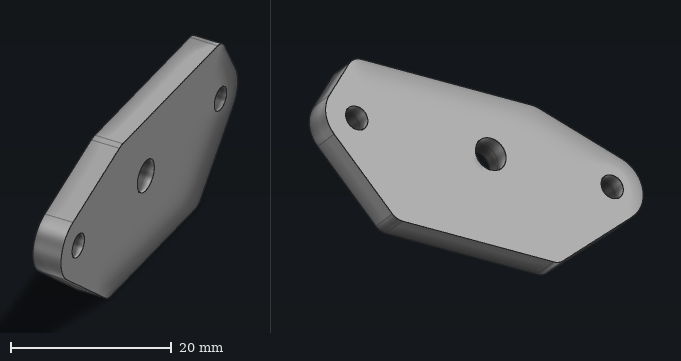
import cadquery as cq
import math

thickness = 4.0
length = 46.0
top_z = 8.35
bottom_z = -12.65
end_radius = 4.5
front_hole_y = -17.55
back_hole_y = front_hole_y + length - 2 * end_radius
end_hole_diameter = 3.2
center_hole_diameter = 4.4

top_back = (19.9, top_z)
top_front = (-6.45, top_z)
bottom_front = (-9.9, bottom_z)
bottom_back = (13.65, bottom_z)
corner_radius = 2.02
shallow_corner_radius = 3.0


def tangent_point(corner, center_y, side):
    """Point where a line from the corner touches the end arc.

    side is +1 or -1 and selects which of the two tangents is used.
    """
    dy = corner[0] - center_y
    dz = corner[1]
    angle = math.atan2(dz, dy) + side * math.acos(end_radius / math.hypot(dy, dz))
    return (center_y + end_radius * math.cos(angle), end_radius * math.sin(angle))


def round_corner(plate, corner, radius):
    """Round the edge that runs along X through the given corner."""
    y, z = corner
    edge = cq.selectors.NearestToPointSelector((0, y, z))
    return plate.edges("|X").edges(edge).fillet(radius)


plate = (
    cq.Workplane("YZ")
    .moveTo(*top_back)
    .lineTo(*top_front)
    .lineTo(*tangent_point(top_front, front_hole_y, 1))
    .threePointArc(
        (front_hole_y - end_radius, 0),
        tangent_point(bottom_front, front_hole_y, -1),
    )
    .lineTo(*bottom_front)
    .lineTo(*bottom_back)
    .lineTo(*tangent_point(bottom_back, back_hole_y, 1))
    .threePointArc(
        (back_hole_y + end_radius, 0),
        tangent_point(top_back, back_hole_y, -1),
    )
    .close()
    .extrude(thickness / 2, both=True)
)

for corner in (top_back, bottom_front, bottom_back):
    plate = round_corner(plate, corner, corner_radius)
plate = round_corner(plate, top_front, shallow_corner_radius)


def through_holes(diameter, positions):
    """Cylinders along X that pass through the plate at the given Y positions."""
    return (
        cq.Workplane("YZ")
        .pushPoints([(y, 0) for y in positions])
        .circle(diameter / 2)
        .extrude(thickness, both=True)
    )


end_holes = through_holes(end_hole_diameter, (front_hole_y, back_hole_y))
center_hole = through_holes(center_hole_diameter, (0,))

result = plate.cut(end_holes).cut(center_hole)